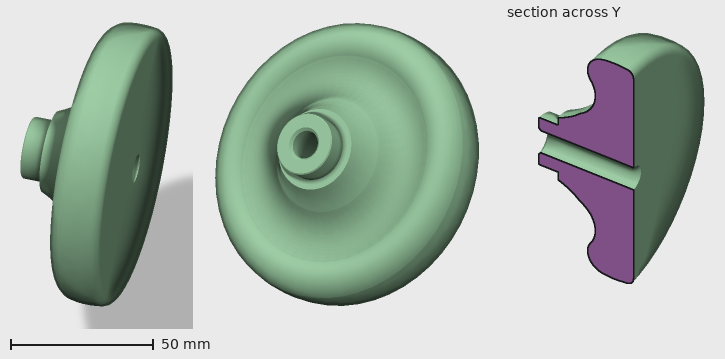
import cadquery as cq
import math


LENGTH = 39.0
OUTER_RADIUS = 50.0

HUB_RADIUS = 11.0
HUB_LENGTH = 8.0
HUB_CHAMFER = 0.4
BORE_RADIUS = 5.0
BORE_CHAMFER = 1.0

SHOULDER_RADIUS = 14.5
FLARE_END = (17.0, 20.4)
FLARE_ARC_RADIUS = 27.0
DISH_ARC_RADIUS = 12.5
DISH_OUTER_RADIUS = 37.0

RIM_FRONT_X = 20.0
NOSE_ARC_RADIUS = 7.9
CROWN_START_X = 25.3
CROWN_TOP_X = 31.4
CROWN_ARC_RADIUS = 30.0
BACK_ARC_RADIUS = 3.2


def point_on_circle(center, radius, angle):
    """Point of a circle at an angle in radians, measured from +X."""
    return (center[0] + radius * math.cos(angle), center[1] + radius * math.sin(angle))


def direction(start, end):
    """Angle in radians of the line from start to end."""
    return math.atan2(end[1] - start[1], end[0] - start[0])


def height_on_circle(offset, radius):
    """Height above the centre of a circle at a sideways offset from the centre."""
    return math.sqrt(radius**2 - offset**2)


def arc_middle(start, end, radius):
    """Middle point of the minor arc that bulges to the right of the line from start to end."""
    half_chord = math.dist(start, end) / 2
    sagitta = radius - height_on_circle(half_chord, radius)
    chord_middle = ((start[0] + end[0]) / 2, (start[1] + end[1]) / 2)
    return point_on_circle(chord_middle, sagitta, direction(start, end) - math.pi / 2)


def revolve_about_x(profile):
    return profile.close().revolve(360, (0, 0, 0), (1, 0, 0))


def make_wheel():
    shoulder = (HUB_LENGTH, SHOULDER_RADIUS)

    crown_center = (CROWN_TOP_X, OUTER_RADIUS - CROWN_ARC_RADIUS)
    crown_start_rise = height_on_circle(CROWN_TOP_X - CROWN_START_X, CROWN_ARC_RADIUS)
    crown_start = (CROWN_START_X, crown_center[1] + crown_start_rise)

    nose_x = RIM_FRONT_X + NOSE_ARC_RADIUS
    nose_center_radius = crown_start[1] - height_on_circle(nose_x - CROWN_START_X, NOSE_ARC_RADIUS)
    nose_tip = (RIM_FRONT_X, nose_center_radius)
    nose_setback = height_on_circle(nose_center_radius - DISH_OUTER_RADIUS, NOSE_ARC_RADIUS)
    dish_end = (nose_x - nose_setback, DISH_OUTER_RADIUS)

    back_x = LENGTH - BACK_ARC_RADIUS
    back_reach = CROWN_ARC_RADIUS - BACK_ARC_RADIUS
    back_center = (back_x, crown_center[1] + height_on_circle(back_x - CROWN_TOP_X, back_reach))
    back_angle = direction(crown_center, back_center)
    crown_end = point_on_circle(crown_center, CROWN_ARC_RADIUS, back_angle)
    back_middle = point_on_circle(back_center, BACK_ARC_RADIUS, back_angle / 2)
    back_end = (LENGTH, back_center[1])

    profile = (
        cq.Workplane("XY")
        .lineTo(0, HUB_RADIUS - HUB_CHAMFER)
        .lineTo(HUB_CHAMFER, HUB_RADIUS)
        .lineTo(HUB_LENGTH, HUB_RADIUS)
        .lineTo(*shoulder)
        .threePointArc(arc_middle(shoulder, FLARE_END, FLARE_ARC_RADIUS), FLARE_END)
        .threePointArc(arc_middle(FLARE_END, dish_end, DISH_ARC_RADIUS), dish_end)
        .threePointArc(nose_tip, crown_start)
        .threePointArc((CROWN_TOP_X, OUTER_RADIUS), crown_end)
        .threePointArc(back_middle, back_end)
        .lineTo(LENGTH, 0)
    )
    return revolve_about_x(profile)


def make_bore():
    """Through hole with a chamfered mouth at the hub end."""
    profile = (
        cq.Workplane("XY")
        .lineTo(0, BORE_RADIUS + BORE_CHAMFER)
        .lineTo(BORE_CHAMFER, BORE_RADIUS)
        .lineTo(LENGTH, BORE_RADIUS)
        .lineTo(LENGTH, 0)
    )
    return revolve_about_x(profile)


result = make_wheel().cut(make_bore())